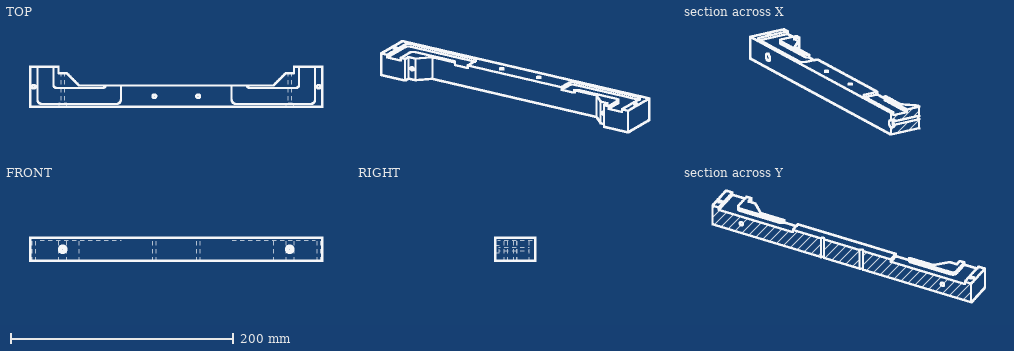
import cadquery as cq

LENGTH = 263.1
DEPTH = 36.05
HEIGHT = 21.0
HALF_LENGTH = LENGTH / 2

WEB_DEPTH = 19.3
SHELF_DEPTH = 30.35
ARM_WIDTH = 25.6
SHELF_WIDTH = 7.3

CHANNEL_FLOOR_DROP = 2.5
END_LAND = 6.6
FRONT_LAND = 2.5
CHANNEL_WIDTH = 14.3
ISLAND_LENGTH = 47.4
CHANNEL_END = 81.7
CHANNEL_CORNER_RADIUS = 4.0
ISLAND_CORNER_RADIUS = 3.3

PIN_DIAMETER = 3.0
END_HOLE_INSET = 3.4
END_HOLE_Y = DEPTH / 2
WEB_HOLE_X = 19.7
WEB_HOLE_Y = 9.5

SCREW_INSET = 29.4
SCREW_DIAMETER = 3.0
COUNTERBORE_DIAMETER = 6.5
COUNTERBORE_DEPTH = 3.5

SIDES = (-1, 1)


def from_end(distance):
    """X of a point at the given distance inward from the -X end."""
    return distance - HALF_LENGTH


def mirrored(solid):
    """Join a feature at the -X end with its mirror image at the +X end."""
    return solid.union(solid.mirror("YZ"))


def make_bar():
    shelf_end = ARM_WIDTH + SHELF_WIDTH
    ramp_end = shelf_end + SHELF_DEPTH - WEB_DEPTH
    half = (
        cq.Workplane("XY")
        .polyline([
            (0, 0),
            (from_end(0), 0),
            (from_end(0), DEPTH),
            (from_end(ARM_WIDTH), DEPTH),
            (from_end(ARM_WIDTH), SHELF_DEPTH),
            (from_end(shelf_end), SHELF_DEPTH),
            (from_end(ramp_end), WEB_DEPTH),
            (0, WEB_DEPTH),
        ])
        .close()
        .extrude(HEIGHT)
    )
    return mirrored(half)


def front_rounded_block(x_start, x_end, y_front, corner_radius):
    """Block at channel level, open to the back, with its two front corners rounded."""
    y_back = 2 * DEPTH - y_front
    return (
        cq.Workplane("XY", origin=(0, 0, HEIGHT - CHANNEL_FLOOR_DROP))
        .moveTo(from_end(x_start), y_front)
        .lineTo(from_end(x_end), y_front)
        .lineTo(from_end(x_end), y_back)
        .lineTo(from_end(x_start), y_back)
        .close()
        .extrude(CHANNEL_FLOOR_DROP)
        .edges("|Z and <Y")
        .fillet(corner_radius)
    )


def make_channels():
    outer = front_rounded_block(END_LAND, CHANNEL_END, FRONT_LAND, CHANNEL_CORNER_RADIUS)
    island = front_rounded_block(
        END_LAND + CHANNEL_WIDTH,
        END_LAND + CHANNEL_WIDTH + ISLAND_LENGTH,
        FRONT_LAND + CHANNEL_WIDTH,
        ISLAND_CORNER_RADIUS,
    )
    return mirrored(outer.cut(island))


def make_vertical_holes():
    centers = []
    for side in SIDES:
        centers.append((side * (HALF_LENGTH - END_HOLE_INSET), END_HOLE_Y))
        centers.append((side * WEB_HOLE_X, WEB_HOLE_Y))
    return cq.Workplane("XY").pushPoints(centers).circle(PIN_DIAMETER / 2).extrude(HEIGHT)


def make_screw_holes():
    centers = [(side * (HALF_LENGTH - SCREW_INSET), HEIGHT / 2) for side in SIDES]
    front = cq.Workplane("XZ").pushPoints(centers)
    shanks = front.circle(SCREW_DIAMETER / 2).extrude(-DEPTH)
    heads = front.circle(COUNTERBORE_DIAMETER / 2).extrude(-COUNTERBORE_DEPTH)
    return shanks.union(heads)


result = (
    make_bar()
    .cut(make_channels())
    .cut(make_vertical_holes())
    .cut(make_screw_holes())
)